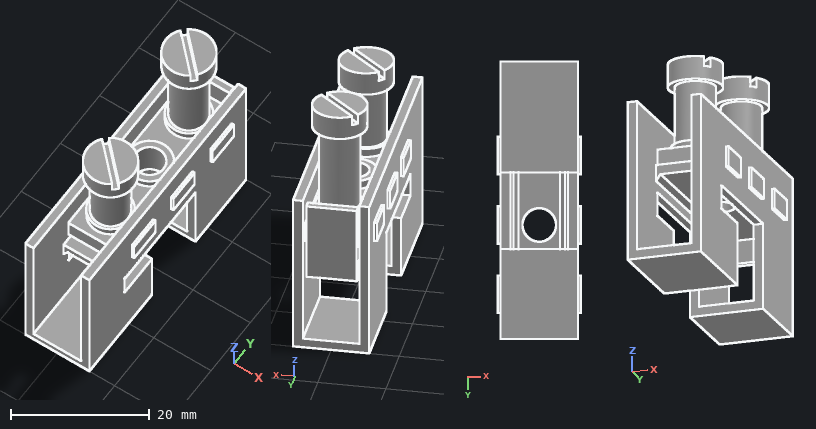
import cadquery as cq

housing_length = 40.0
housing_width = 11.2
housing_height = 24.0
wall = 1.45
inner_width = housing_width - 2 * wall

slot_back_y = 7.05
slot_mouth_y = -4.0
slot_undercut_y = -11.0
slot_top_z = 12.95
slot_ledge_z = 9.45

station_pitch = 10.0
middle_y = 3.55
station_ys = [middle_y - station_pitch, middle_y, middle_y + station_pitch]
bar_length = 29.4
bar_height = 3.0
bar_bottom_z = 16.5
bar_top_z = bar_bottom_z + bar_height
lug_length = 5.45
lug_span = 12.0

collar_diameter = 7.0
collar_height = 1.3
hole_diameter = 4.8

shank_diameter = 6.0
head_diameter = 8.0
head_height = 3.5
front_screw_top_z = 33.45
rear_screw_top_z = 36.8
drive_slot_width = 1.0
drive_slot_depth = 1.45
drive_slot_angle = -45.0

strip_width = 7.4
strip_front_y = -13.0
strip_rear_y = 19.7
strip_thickness = 1.5
lip_drop = 0.95
lip_run = 0.7
upright_thickness = 1.2
upright_bottom_z = 11.5
upright_top_z = 23.0


def box(x_size, y_min, y_max, z_min, z_max):
    """Box centred on X between the given Y and Z limits."""
    base = cq.Workplane("XY").box(x_size, y_max - y_min, z_max - z_min, centered=(True, False, False))
    return base.translate((0, y_min, z_min))


def cylinder(diameter, y, z_min, z_max):
    """Upright cylinder on the centre plane X = 0."""
    return cq.Workplane("XY", origin=(0, y, z_min)).circle(diameter / 2).extrude(z_max - z_min)


def make_housing():
    half_length = housing_length / 2
    body = box(housing_width, -half_length, half_length, 0, housing_height)
    body = body.cut(box(inner_width, -half_length, half_length, wall, housing_height))
    body = body.cut(box(housing_width, slot_mouth_y, slot_back_y, 0, slot_top_z))
    return body.cut(box(housing_width, slot_undercut_y, slot_mouth_y, slot_ledge_z, slot_top_z))


def make_bar():
    bar = box(inner_width, middle_y - bar_length / 2, middle_y + bar_length / 2, bar_bottom_z, bar_top_z)
    for y in station_ys:
        bar = bar.union(box(lug_span, y - lug_length / 2, y + lug_length / 2, bar_bottom_z, bar_top_z))
        bar = bar.union(cylinder(collar_diameter, y, bar_top_z, bar_top_z + collar_height))
    return bar


def make_clamp_strip():
    """Shallow channel opening downwards, with tapering side lips."""
    half_width = strip_width / 2
    web_bottom_z = bar_bottom_z - strip_thickness
    lip_z = web_bottom_z - lip_drop
    profile = [
        (-half_width, bar_bottom_z),
        (half_width, bar_bottom_z),
        (half_width, lip_z),
        (half_width - lip_run, web_bottom_z),
        (lip_run - half_width, web_bottom_z),
        (-half_width, lip_z),
    ]
    strip = (
        cq.Workplane("XZ", origin=(0, strip_rear_y, 0))
        .polyline(profile)
        .close()
        .extrude(strip_rear_y - strip_front_y)
    )
    upright_front_y = strip_rear_y - upright_thickness
    return strip.union(box(strip_width, upright_front_y, strip_rear_y, upright_bottom_z, upright_top_z))


def make_screw(y, top_z):
    head_bottom_z = top_z - head_height
    screw = cylinder(shank_diameter, y, bar_bottom_z, head_bottom_z)
    screw = screw.union(cylinder(head_diameter, y, head_bottom_z, top_z))
    drive_slot = (
        cq.Workplane("XY", origin=(0, y, top_z))
        .transformed(rotate=(0, 0, drive_slot_angle))
        .rect(2 * head_diameter, drive_slot_width)
        .extrude(-drive_slot_depth)
    )
    return screw.cut(drive_slot)


front_y, hole_y, rear_y = station_ys
result = make_housing().union(make_bar()).union(make_clamp_strip())
result = result.union(make_screw(front_y, front_screw_top_z))
result = result.union(make_screw(rear_y, rear_screw_top_z))
result = result.cut(cylinder(hole_diameter, hole_y, 0, rear_screw_top_z))